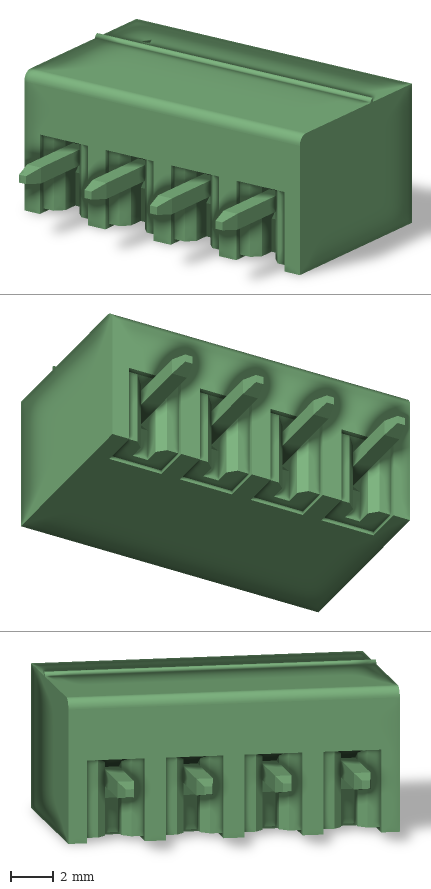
import cadquery as cq
import math


pin_count = 4
pin_pitch = 3.81
end_margin = 2.3
pin_height = 3.0
pin_width = 0.8
pin_tip_width = 0.4
pin_projection = 3.4
pin_taper_length = 0.95
pin_x_positions = [(i - (pin_count - 1) / 2) * pin_pitch for i in range(pin_count)]

body_length = (pin_count - 1) * pin_pitch + 2 * end_margin
body_depth = 9.2
body_height = 7.0
front_edge_radius = 0.5

rib_radius = 0.2
rib_back_y = body_depth - 3.2

mark_width = 0.5
mark_length = 0.5
mark_front_y = body_depth - 2.5
mark_depth = 0.1

recess_width = 2.8
recess_height = 4.0
recess_depth = 0.3

mouth_width = 1.6
flare_depth = (mouth_width - pin_width) / 2
ceiling_angle = math.radians(30)
channel_wall_y = recess_depth + 1.2
ramp_start_height = 1.87
ramp_angle = math.radians(45)

groove_height = 0.2
groove_depth = 2.0

pin_top = pin_height + pin_width / 2
pin_bottom = pin_height - pin_width / 2
ceiling_end_y = recess_depth + (recess_height - pin_top) / math.tan(ceiling_angle)
channel_end_y = channel_wall_y + (pin_bottom - ramp_start_height) / math.tan(ramp_angle)


def make_body():
    """Block with a rounded top front edge."""
    block = cq.Workplane("XY").box(body_length, body_depth, body_height, centered=(True, False, False))
    return block.edges("|X and >Z and <Y").fillet(front_edge_radius)


def make_rib():
    """Quarter-round rib over the full length of the top."""
    arc_offset = rib_radius * math.sqrt(0.5)
    rib_front_y = rib_back_y - rib_radius
    return (
        cq.Workplane("YZ", origin=(-body_length / 2, 0, 0))
        .moveTo(rib_back_y, body_height)
        .lineTo(rib_back_y, body_height + rib_radius)
        .threePointArc(
            (rib_back_y - arc_offset, body_height + arc_offset),
            (rib_front_y, body_height),
        )
        .close()
        .extrude(body_length)
    )


def make_mark(x):
    """Triangular cutter whose point faces the back."""
    return (
        cq.Workplane("XY", origin=(x, mark_front_y, body_height))
        .polyline([(-mark_width / 2, 0), (mark_width / 2, 0), (0, mark_length)])
        .close()
        .extrude(-mark_depth)
    )


def make_front_box(x, width, depth, height):
    """Box standing on the underside and reaching back from the front face."""
    return cq.Workplane("XY", origin=(x, 0, 0)).box(width, depth, height, centered=(True, False, False))


def make_channel(x):
    """Flared channel bounded by a sloping ceiling and a ramp below the pin."""
    flare_end_y = recess_depth + flare_depth
    half_plan = [
        (mouth_width / 2, recess_depth),
        (pin_width / 2, flare_end_y),
        (pin_width / 2, channel_end_y),
    ]
    mirrored_plan = [(-px, py) for px, py in reversed(half_plan)]
    plan = (
        cq.Workplane("XY", origin=(x, 0, 0))
        .polyline(half_plan + mirrored_plan)
        .close()
        .extrude(recess_height)
    )
    side_profile = [
        (recess_depth, 0),
        (recess_depth, recess_height),
        (ceiling_end_y, pin_top),
        (channel_end_y, pin_top),
        (channel_end_y, pin_bottom),
        (channel_wall_y, ramp_start_height),
        (channel_wall_y, 0),
    ]
    side = (
        cq.Workplane("YZ", origin=(x - mouth_width / 2, 0, 0))
        .polyline(side_profile)
        .close()
        .extrude(mouth_width)
    )
    return plan.intersect(side)


def make_pin(x):
    """Square pin rooted at the end of its channel, with a tapered tip."""
    shoulder_y = pin_taper_length - pin_projection
    shank = (
        cq.Workplane("XZ", origin=(x, channel_end_y, pin_height))
        .rect(pin_width, pin_width)
        .extrude(channel_end_y - shoulder_y)
    )
    tip = (
        cq.Workplane("XZ", origin=(x, shoulder_y, pin_height))
        .rect(pin_width, pin_width)
        .workplane(offset=pin_taper_length)
        .rect(pin_tip_width, pin_tip_width)
        .loft(combine=True)
    )
    return shank.union(tip)


result = make_body().union(make_rib()).cut(make_mark(pin_x_positions[0]))

for pin_x in pin_x_positions:
    result = result.cut(make_front_box(pin_x, recess_width, recess_depth, recess_height))
    result = result.cut(make_front_box(pin_x, recess_width, groove_depth, groove_height))
    result = result.cut(make_channel(pin_x))
    result = result.union(make_pin(pin_x))